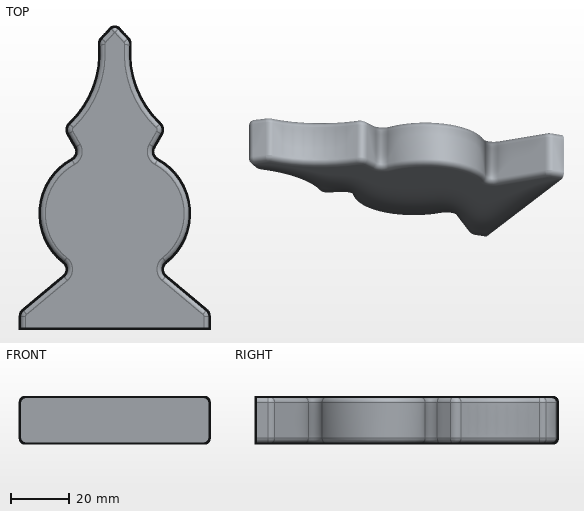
import cadquery as cq
import math

base_width = 65.0
total_height = 103.45
thickness = 16.0

rim_radius = 2.0
corner_radius = 3.0
tip_radius = 2.0

foot_corner = (base_width / 2, 5.6)
lower_neck = (14.4, 20.7)
upper_neck = (11.9, 59.3)
collar = (17.3, 68.75)
shoulder_half_width = 5.55
tip_slope = math.radians(47.0)

bulge_side = (25.75, 39.6)
spire_radius = 33.0

tip_y = total_height + tip_radius * (1 / math.cos(tip_slope) - 1)
shoulder = (shoulder_half_width, tip_y - shoulder_half_width * math.tan(tip_slope))


def mirrored(point):
    """Return the matching point on the left half."""
    return (-point[0], point[1])


def spire_middle():
    """Return the point halfway along the concave spire arc between collar and shoulder."""
    chord_x = shoulder[0] - collar[0]
    chord_y = shoulder[1] - collar[1]
    chord = math.hypot(chord_x, chord_y)
    sag = spire_radius - math.sqrt(spire_radius**2 - (chord / 2) ** 2)
    middle_x = (collar[0] + shoulder[0]) / 2 - sag * chord_y / chord
    middle_y = (collar[1] + shoulder[1]) / 2 + sag * chord_x / chord
    return (middle_x, middle_y)


def sharp_body():
    """Extrude the symmetric finial outline with all its corners still sharp."""
    spire_side = spire_middle()
    return (
        cq.Workplane("XY")
        .moveTo(base_width / 2, 0)
        .lineTo(*foot_corner)
        .lineTo(*lower_neck)
        .threePointArc(bulge_side, upper_neck)
        .lineTo(*collar)
        .threePointArc(spire_side, shoulder)
        .lineTo(0, tip_y)
        .lineTo(*mirrored(shoulder))
        .threePointArc(mirrored(spire_side), mirrored(collar))
        .lineTo(*mirrored(upper_neck))
        .threePointArc(mirrored(bulge_side), mirrored(lower_neck))
        .lineTo(*mirrored(foot_corner))
        .lineTo(-base_width / 2, 0)
        .close()
        .extrude(thickness)
    )


def round_corners(body):
    """Round the upright edges, except the two sharp ones at the flat base."""
    tip_edge = cq.selectors.NearestToPointSelector((0, tip_y, thickness / 2))
    body = body.edges(tip_edge).fillet(tip_radius)
    for corner in (foot_corner, lower_neck, upper_neck, collar, shoulder):
        for x, y in (corner, mirrored(corner)):
            edge = cq.selectors.NearestToPointSelector((x, y, thickness / 2))
            body = body.edges(edge).fillet(corner_radius)
    return body


def round_rims(body):
    """Round the top and bottom rims everywhere except along the flat base."""
    return body.faces("<Z or >Z").edges("not <Y").fillet(rim_radius)


result = round_rims(round_corners(sharp_body()))